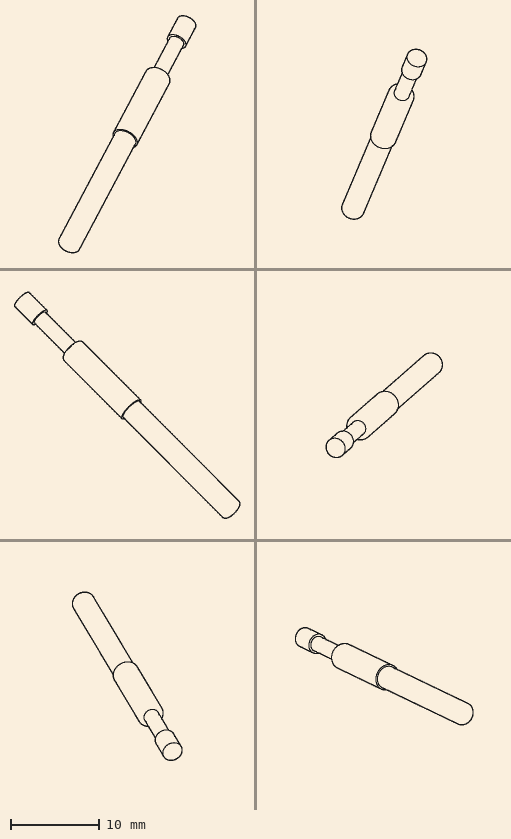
import cadquery as cq

total_length = 35.3
head_diameter = 2.3
head_length = 3.0
neck_diameter = 1.75
neck_length = 5.3
collar_diameter = 3.0
collar_length = 10.03
collar_round = 0.4
tail_diameter = 2.6
tail_round = 0.35

tail_length = total_length - head_length - neck_length - collar_length


def cylinder_along_y(diameter, length, start_y):
    """Cylinder on the Y axis, running from start_y toward +Y."""
    return (
        cq.Workplane("XZ", origin=(0, start_y, 0))
        .circle(diameter / 2)
        .extrude(-length)
    )


tail_start = -total_length / 2
collar_start = tail_start + tail_length
neck_start = collar_start + collar_length
head_start = neck_start + neck_length

tail = cylinder_along_y(tail_diameter, tail_length, tail_start)
tail = tail.faces("<Y").edges().fillet(tail_round)

collar = cylinder_along_y(collar_diameter, collar_length, collar_start)
collar = collar.faces(">Y").edges().fillet(collar_round)

neck = cylinder_along_y(neck_diameter, neck_length, neck_start)
head = cylinder_along_y(head_diameter, head_length, head_start)

result = tail.union(collar).union(neck).union(head)